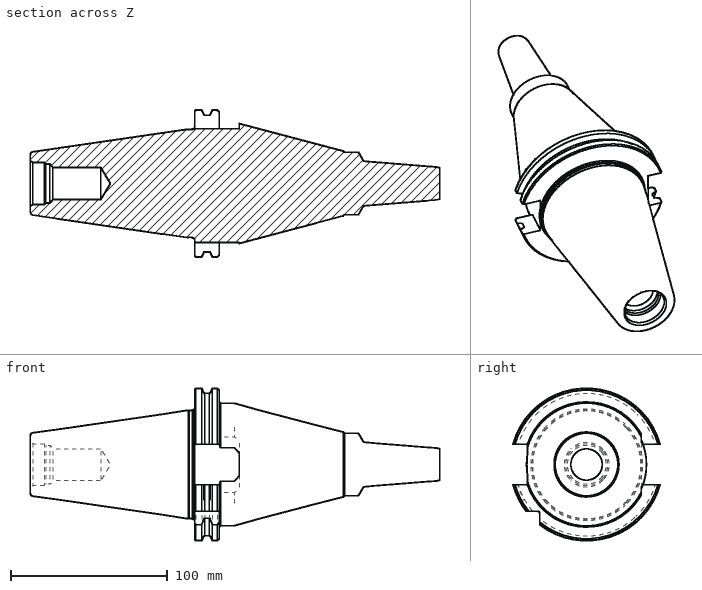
import cadquery as cq
import math


gauge_radius = 69.85 / 2
taper_length = 101.75
taper_slope = 7 / 24 / 2
shank_end_fillet = 1.8
shank_end_radius = gauge_radius - taper_slope * taper_length

relief_start_x = -0.7
relief_end_x = 1.6
relief_depth = 0.4

flange_radius = 97.5 / 2
flange_start_x = 3.2
flange_end_x = 19.1
flange_start_chamfer = 0.8
flange_end_chamfer = 1.3
groove_center_x = 11.2
groove_floor_radius = 91.2 / 2
groove_floor_width = 3.75
groove_wall_angle = 25
groove_floor_fillet = 0.6
flange_root_fillet = 0.8

collar_radius = 39.2
collar_end_x = 28.6
cone_end_x = 98.2
cone_end_radius = 20.8
front_collar_radius = 20.0
front_collar_end_x = 108.0
shoulder_angle = 60
shoulder_fillet = 0.8

total_length = 261.6
front_end_x = total_length - taper_length
stub_start_radius = 14.35
stub_end_radius = 10.6
stub_end_chamfer_length = 1.8
stub_end_chamfer_depth = 0.6

slot_width = 25.7
slot_end_x = 31.7
slot_depth_back = 35.0
slot_depth_front = 37.7
notch_offset = 30.0
notch_fillet = 1.0

bore_mouth_radius = 14.3
bore_radius = 13.4
bore_mouth_depth = 1.7
bore_depth = 9.0
recess_radius = 12.4
recess_start_depth = 10.0
recess_end_depth = 12.5
thread_core_radius = 10.2
thread_start_depth = 14.5
thread_depth = 45.0
drill_point_angle = 118

edge_tolerance = 0.01


def fillet_ring(body, x, radius, fillet_radius):
    """Round the circular edge that lies at position x with the given radius."""

    def is_ring(edge):
        center = edge.arcCenter()
        return abs(center.x - x) < edge_tolerance and abs(edge.radius() - radius) < edge_tolerance

    ring = [edge for edge in body.edges("%CIRCLE").vals() if is_ring(edge)]
    return body.newObject(ring).fillet(fillet_radius)


def make_body():
    groove_half_floor = groove_floor_width / 2
    groove_run = (flange_radius - groove_floor_radius) * math.tan(math.radians(groove_wall_angle))
    groove_half_top = groove_half_floor + groove_run
    relief_radius = gauge_radius - relief_depth
    cone_end_step = cone_end_radius - front_collar_radius
    shoulder_drop = front_collar_radius - stub_start_radius
    stub_start_x = front_collar_end_x + shoulder_drop / math.tan(math.radians(shoulder_angle))
    profile = (
        cq.Workplane("XY")
        .moveTo(-taper_length, 0)
        .lineTo(-taper_length, shank_end_radius)
        .lineTo(relief_start_x, gauge_radius + taper_slope * relief_start_x)
        .lineTo(relief_start_x + relief_depth, relief_radius)
        .lineTo(relief_end_x, relief_radius)
        .lineTo(relief_end_x, gauge_radius)
        .lineTo(flange_start_x, gauge_radius)
        .lineTo(flange_start_x, flange_radius - flange_start_chamfer)
        .lineTo(flange_start_x + flange_start_chamfer, flange_radius)
        .lineTo(groove_center_x - groove_half_top, flange_radius)
        .lineTo(groove_center_x - groove_half_floor, groove_floor_radius)
        .lineTo(groove_center_x + groove_half_floor, groove_floor_radius)
        .lineTo(groove_center_x + groove_half_top, flange_radius)
        .lineTo(flange_end_x - flange_end_chamfer, flange_radius)
        .lineTo(flange_end_x, flange_radius - flange_end_chamfer)
        .lineTo(flange_end_x, collar_radius)
        .lineTo(collar_end_x, collar_radius)
        .lineTo(cone_end_x, cone_end_radius)
        .lineTo(cone_end_x + cone_end_step, front_collar_radius)
        .lineTo(front_collar_end_x, front_collar_radius)
        .lineTo(stub_start_x, stub_start_radius)
        .lineTo(front_end_x - stub_end_chamfer_length, stub_end_radius)
        .lineTo(front_end_x, stub_end_radius - stub_end_chamfer_depth)
        .lineTo(front_end_x, 0)
        .close()
    )
    body = profile.revolve(360, (0, 0, 0), (1, 0, 0))
    body = body.faces("<X").edges().fillet(shank_end_fillet)
    body = fillet_ring(body, front_collar_end_x, front_collar_radius, shoulder_fillet)
    body = fillet_ring(body, stub_start_x, stub_start_radius, shoulder_fillet)
    body = fillet_ring(body, flange_start_x, gauge_radius, flange_root_fillet)
    body = fillet_ring(body, flange_end_x, collar_radius, flange_root_fillet)
    for x in (groove_center_x - groove_half_floor, groove_center_x + groove_half_floor):
        body = fillet_ring(body, x, groove_floor_radius, groove_floor_fillet)
    return body


def make_slot(side, depth):
    """Drive slot through the flange and flat across the collar; side is +1 for +Y and -1 for -Y."""
    cutter_height = flange_radius

    def cutter(start_x, end_x, width):
        center = ((start_x + end_x) / 2, side * (depth + cutter_height / 2), 0)
        return cq.Workplane("XY").box(end_x - start_x, cutter_height, width).translate(center)

    flange_slot = cutter(flange_start_x, flange_end_x, slot_width)
    collar_flat = cutter(flange_end_x, slot_end_x, 2 * collar_radius)
    return flange_slot.union(collar_flat)


def make_notch():
    size = flange_radius
    center = -(notch_offset + size / 2)
    notch = cq.Workplane("XY").box(flange_end_x - flange_start_x, size, size)
    notch = notch.edges(">Y and >Z").fillet(notch_fillet)
    return notch.translate(((flange_start_x + flange_end_x) / 2, center, center))


def make_bore():
    point_length = thread_core_radius / math.tan(math.radians(drill_point_angle / 2))
    return (
        cq.Workplane("XY")
        .moveTo(-taper_length, 0)
        .lineTo(-taper_length, bore_mouth_radius)
        .lineTo(-taper_length + bore_mouth_depth, bore_radius)
        .lineTo(-taper_length + bore_depth, bore_radius)
        .lineTo(-taper_length + recess_start_depth, recess_radius)
        .lineTo(-taper_length + recess_end_depth, recess_radius)
        .lineTo(-taper_length + thread_start_depth, thread_core_radius)
        .lineTo(-taper_length + thread_depth, thread_core_radius)
        .lineTo(-taper_length + thread_depth + point_length, 0)
        .close()
        .revolve(360, (0, 0, 0), (1, 0, 0))
    )


result = (
    make_body()
    .cut(make_slot(1, slot_depth_back))
    .cut(make_slot(-1, slot_depth_front))
    .cut(make_notch())
    .cut(make_bore())
)